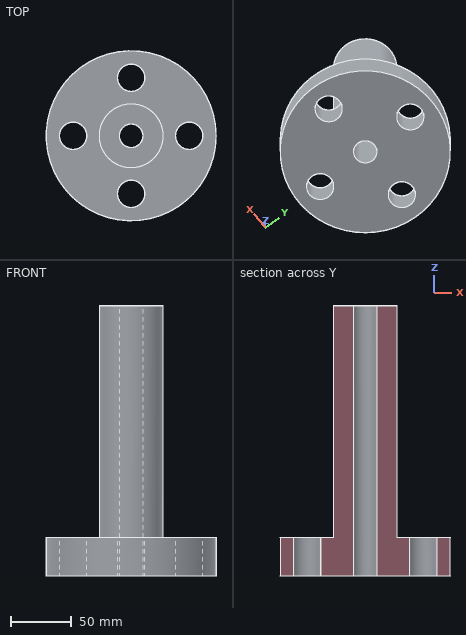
import cadquery as cq

total_height = 222.2
flange_diameter = 139.8
flange_thickness = 31.8
neck_diameter = 52.5

bore_diameter = 19.1
bolt_hole_diameter = 22.2
bolt_circle_diameter = 95.3
bolt_hole_count = 4


def make_body():
    """Round flange standing on Z = 0 with a long plain neck on top."""
    flange = cq.Workplane("XY").circle(flange_diameter / 2).extrude(flange_thickness)
    neck = cq.Workplane("XY").circle(neck_diameter / 2).extrude(total_height)
    return flange.union(neck)


def make_bore():
    """Central bore along the full height."""
    return cq.Workplane("XY").circle(bore_diameter / 2).extrude(total_height)


def make_bolt_holes():
    """Bolt holes through the flange, the first one on the +X axis."""
    return (
        cq.Workplane("XY")
        .polarArray(bolt_circle_diameter / 2, 0, 360, bolt_hole_count)
        .circle(bolt_hole_diameter / 2)
        .extrude(flange_thickness)
    )


result = make_body().cut(make_bore()).cut(make_bolt_holes())